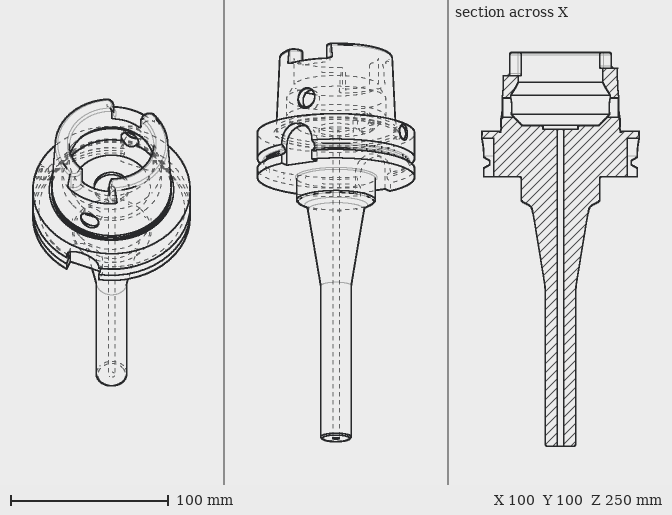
import cadquery as cq
import math

total_length = 250.0

flange_radius = 50.0
flange_top = 200.0
flange_thickness = 29.0
flange_bottom = flange_top - flange_thickness

groove_depth = 20.0
groove_center = flange_top - groove_depth
groove_floor_radius = 46.2
groove_floor_half = 1.2
groove_corner_fillet = 1.0
groove_wall_angle = math.radians(30)
groove_mouth_half = (groove_floor_half
                     + (flange_radius - groove_floor_radius) * math.tan(groove_wall_angle))

taper_top_radius = 35.7
taper_base_radius = 38.0
neck_groove_top = 203.0
neck_groove_bottom = 201.0
neck_groove_depth = 0.37
face_relief_radius = 39.5
face_relief_depth = 0.7

bore_radius = 26.7
bore_straight_depth = 19.0
recess_radius = 31.5
clamp_angle = math.radians(30)
recess_bottom = 210.7
bore_floor_radius = 24.5
bore_floor = recess_bottom - (recess_radius - bore_floor_radius)
seat_radius = 11.0
seat_depth = 2.5
coolant_radius = 2.0

nose_radius = 25.0
nose_root_fillet = 1.0
nose_bottom = 155.0
nose_edge_chamfer = 1.0
shoulder_radius = 20.0
shoulder_slope = 27.0
neck_top = 150.0
neck_radius = 18.0
stem_length = 100.0
stem_radius = 9.7
stem_chamfer = 1.0

notch_width = 20.0
front_notch_depth = 14.7
back_notch_depth = 10.0
notch_corner_radius = 5.0
notch_flare_y = 32.2
notch_floor_fillet = 1.5
rim_fillet = 1.5
select_margin = 2.5

cross_hole_radius = 6.0
cross_hole_flare = 1.2
cross_hole_z = 215.0
slot_half_width = 11.0
slot_arch_drop = 4.5
slot_floor_y = 42.5
chip_hole_radius = 4.0
chip_hole_chamfer = 1.0
chip_hole_depth = 5.0
chip_hole_drop = 6.0
chip_point_height = 2.5


def make_body():
    """Revolve the outer outline, from the stem tip up to the shank rim."""
    corner_tangent = groove_corner_fillet * math.tan((math.pi / 2 - groove_wall_angle) / 2)
    floor_half = groove_floor_half - corner_tangent
    wall_start_half = groove_floor_half + corner_tangent * math.sin(groove_wall_angle)
    wall_start_radius = groove_floor_radius + corner_tangent * math.cos(groove_wall_angle)
    nose_edge_radius = nose_radius - nose_edge_chamfer
    shoulder_drop = (nose_edge_radius - shoulder_radius) * math.tan(math.radians(shoulder_slope))
    fillet_middle = nose_root_fillet * (1 - math.sqrt(0.5))
    outline = (
        cq.Workplane("XZ")
        .moveTo(0, 0)
        .lineTo(stem_radius - stem_chamfer, 0)
        .lineTo(stem_radius, stem_chamfer)
        .lineTo(stem_radius, stem_length)
        .lineTo(neck_radius, neck_top)
        .tangentArcPoint((shoulder_radius, nose_bottom - shoulder_drop), relative=False)
        .lineTo(nose_edge_radius, nose_bottom)
        .lineTo(nose_radius, nose_bottom + nose_edge_chamfer)
        .lineTo(nose_radius, flange_bottom - nose_root_fillet)
        .threePointArc(
            (nose_radius + fillet_middle, flange_bottom - fillet_middle),
            (nose_radius + nose_root_fillet, flange_bottom),
        )
        .lineTo(flange_radius, flange_bottom)
        .lineTo(flange_radius, groove_center - groove_mouth_half)
        .lineTo(wall_start_radius, groove_center - wall_start_half)
        .tangentArcPoint((groove_floor_radius, groove_center - floor_half), relative=False)
        .lineTo(groove_floor_radius, groove_center + floor_half)
        .tangentArcPoint((wall_start_radius, groove_center + wall_start_half), relative=False)
        .lineTo(flange_radius, groove_center + groove_mouth_half)
        .lineTo(flange_radius, flange_top)
        .lineTo(face_relief_radius, flange_top)
        .lineTo(taper_base_radius, flange_top - face_relief_depth)
        .lineTo(taper_base_radius, neck_groove_bottom)
        .threePointArc(
            (taper_base_radius - neck_groove_depth, (neck_groove_bottom + neck_groove_top) / 2),
            (taper_base_radius, neck_groove_top),
        )
        .lineTo(taper_top_radius, total_length)
        .lineTo(0, total_length)
        .close()
    )
    return outline.revolve(360, (0, 0, 0), (0, 1, 0))


def make_bore():
    """Revolve the hollow: bore, clamping recess, seat and coolant hole."""
    clamp_top = total_length - bore_straight_depth
    recess_top = clamp_top - (recess_radius - bore_radius) / math.tan(clamp_angle)
    return (
        cq.Workplane("XZ")
        .moveTo(0, 0)
        .lineTo(coolant_radius, 0)
        .lineTo(coolant_radius, bore_floor - seat_depth)
        .lineTo(seat_radius, bore_floor - seat_depth)
        .lineTo(seat_radius, bore_floor)
        .lineTo(bore_floor_radius, bore_floor)
        .lineTo(recess_radius, recess_bottom)
        .lineTo(recess_radius, recess_top)
        .lineTo(bore_radius, clamp_top)
        .lineTo(bore_radius, total_length)
        .lineTo(0, total_length)
        .close()
        .revolve(360, (0, 0, 0), (0, 1, 0))
    )


def make_notch(side, depth):
    """Opening in the shank wall on the given Y side, flared round the prong ends."""
    half_width = notch_width / 2
    flare_width = half_width + notch_corner_radius
    floor = total_length - depth
    reach = flange_radius - select_margin
    notch = (
        cq.Workplane("XY", origin=(0, 0, floor))
        .moveTo(-half_width, 0)
        .lineTo(half_width, 0)
        .lineTo(half_width, notch_flare_y - notch_corner_radius)
        .tangentArcPoint((flare_width, notch_flare_y), relative=False)
        .lineTo(flange_radius, notch_flare_y)
        .lineTo(flange_radius, flange_radius)
        .lineTo(-flange_radius, flange_radius)
        .lineTo(-flange_radius, notch_flare_y)
        .lineTo(-flare_width, notch_flare_y)
        .tangentArcPoint((-half_width, notch_flare_y - notch_corner_radius), relative=False)
        .close()
        .extrude(depth)
    )
    prong_edges = cq.selectors.BoxSelector(
        (-reach, select_margin, floor - select_margin),
        (reach, reach, floor + select_margin),
    )
    notch = notch.edges(prong_edges).fillet(notch_floor_fillet)
    return notch if side > 0 else notch.mirror("XZ")


def make_cross_hole():
    """Hole through both walls of the shank along Y, countersunk at both mouths."""
    mouth_radius = cross_hole_radius + cross_hole_flare
    return (
        cq.Workplane("XY")
        .moveTo(0, -taper_base_radius)
        .lineTo(mouth_radius, -taper_base_radius)
        .lineTo(cross_hole_radius, cross_hole_flare - taper_base_radius)
        .lineTo(cross_hole_radius, taper_base_radius - cross_hole_flare)
        .lineTo(mouth_radius, taper_base_radius)
        .lineTo(0, taper_base_radius)
        .close()
        .revolve(360, (0, 0, 0), (0, 1, 0))
        .translate((0, 0, cross_hole_z))
    )


def make_slot(side):
    """Arched flat slot in the flange rim, open at the flange bottom."""
    arch_top = flange_top - slot_arch_drop
    arch_center = arch_top - slot_half_width
    slot = (
        cq.Workplane("XZ", origin=(0, -slot_floor_y, 0))
        .moveTo(-slot_half_width, flange_bottom)
        .lineTo(slot_half_width, flange_bottom)
        .lineTo(slot_half_width, arch_center)
        .threePointArc((0, arch_top), (-slot_half_width, arch_center))
        .close()
        .extrude(flange_radius)
    )
    return slot if side < 0 else slot.mirror("XZ")


def make_chip_hole():
    """Chamfered blind hole with a conical end, entering the flange from -X."""
    mouth_radius = chip_hole_radius + chip_hole_chamfer
    hole = (
        cq.Workplane("XY")
        .lineTo(0, mouth_radius)
        .lineTo(chip_hole_chamfer, chip_hole_radius)
        .lineTo(chip_hole_depth, chip_hole_radius)
        .lineTo(chip_hole_depth + chip_point_height, 0)
        .close()
        .revolve(360, (0, 0, 0), (1, 0, 0))
    )
    return hole.translate((-flange_radius, 0, flange_top - chip_hole_drop))


result = make_body().cut(make_bore())
for side, depth in ((-1, front_notch_depth), (1, back_notch_depth)):
    result = result.cut(make_notch(side, depth))

result = result.faces(">Z").edges().fillet(rim_fillet)

result = result.cut(make_cross_hole()).cut(make_chip_hole())
for side in (-1, 1):
    result = result.cut(make_slot(side))